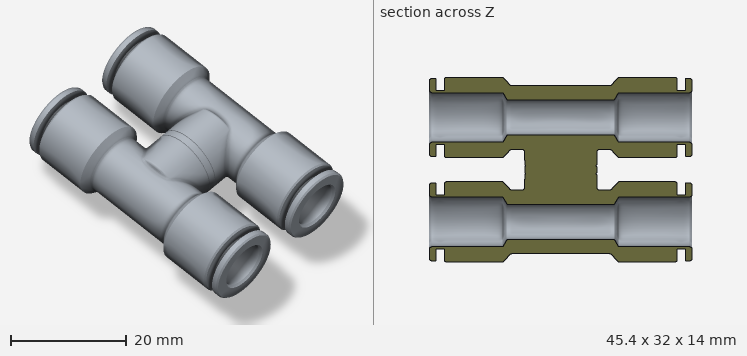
import cadquery as cq
import math

overall_length = 45.4
run_spacing = 18.02
end = -overall_length / 2

body_radius = 7.0
run_radius = 5.55
flange_radius = 6.75
neck_radius = 4.7
rim_chamfer_length = 0.3
rim_chamfer_depth = 0.23
flange_thickness = 1.23
neck_length = 1.35
body_length = 10.12
taper_length = 1.35
taper_fillet = 0.45

passage_radius = 3.0
socket_radius = 4.2
cone_half_angle = 60.0
mouth_chamfer_depth = 0.25
mouth_chamfer_length = 0.45

bridge_radius = 6.25
bridge_end_offset = 1.23
bridge_rim_fillet = 0.55
joint_fillet = 0.45
groove_spacing = 1.4
groove_width = 0.2
groove_depth = 0.15

flange_back = end + flange_thickness
body_face = flange_back + neck_length
taper_start = body_face + body_length
taper_end = taper_start + taper_length


def revolve_about_x(half_profile):
    """Revolve (x, radius) points for x <= 0 and mirror the result to x >= 0."""
    half = (
        cq.Workplane("XY")
        .polyline(half_profile)
        .close()
        .revolve(360, (0, 0, 0), (1, 0, 0))
    )
    return half.union(half.mirror("YZ")).clean()


def run_blank():
    blank = revolve_about_x([
        (end, 0),
        (end, flange_radius - rim_chamfer_depth),
        (end + rim_chamfer_length, flange_radius),
        (flange_back, flange_radius),
        (flange_back, neck_radius),
        (body_face, neck_radius),
        (body_face, body_radius - rim_chamfer_depth),
        (body_face + rim_chamfer_length, body_radius),
        (taper_start, body_radius),
        (taper_end, run_radius),
        (0, run_radius),
        (0, 0),
    ])
    reach = abs(taper_end) + taper_length / 2
    slim_stretch = cq.selectors.BoxSelector(
        (-reach, -body_radius, -body_radius),
        (reach, body_radius, body_radius),
    )
    return blank.edges("%CIRCLE").edges(slim_stretch).fillet(taper_fillet)


def run_bore():
    socket_end = taper_start
    cone_length = (socket_radius - passage_radius) / math.tan(math.radians(cone_half_angle))
    return revolve_about_x([
        (end, 0),
        (end, socket_radius + mouth_chamfer_depth),
        (end + mouth_chamfer_length, socket_radius),
        (socket_end, socket_radius),
        (socket_end + cone_length, passage_radius),
        (0, passage_radius),
        (0, 0),
    ])


def cylinder_along_y(radius, length, middle_y=0):
    return cq.Workplane("XZ", origin=(0, middle_y + length / 2, 0)).circle(radius).extrude(length)


def bridge_blank():
    cylinder = cylinder_along_y(bridge_radius, run_spacing - 2 * bridge_end_offset)
    return cylinder.faces("<Y or >Y").edges().fillet(bridge_rim_fillet)


def bridge_groove(middle_y):
    outside = cylinder_along_y(bridge_radius + groove_depth, groove_width, middle_y)
    floor = cylinder_along_y(bridge_radius - groove_depth, groove_width, middle_y)
    return outside.cut(floor)


def at_both_runs(shape):
    offset = run_spacing / 2
    return shape.translate((0, offset, 0)).union(shape.translate((0, -offset, 0)))


def joint_box(side):
    """Box around the middles of the edges where the bridge meets a run (side is +1 or -1 in Y)."""
    margin = 0.05
    crotch = run_spacing / 2 - run_radius - margin
    bridge_end = run_spacing / 2 - bridge_end_offset + margin
    return cq.selectors.BoxSelector(
        (-bridge_radius, side * crotch, -run_radius),
        (bridge_radius, side * bridge_end, run_radius),
    )


body = at_both_runs(run_blank()).union(bridge_blank())
joint_edges = body.edges(joint_box(1)).add(body.edges(joint_box(-1)))
body = body.newObject(joint_edges.vals()).fillet(joint_fillet)

for groove_y in (-groove_spacing / 2, groove_spacing / 2):
    body = body.cut(bridge_groove(groove_y))

result = body.cut(at_both_runs(run_bore()))